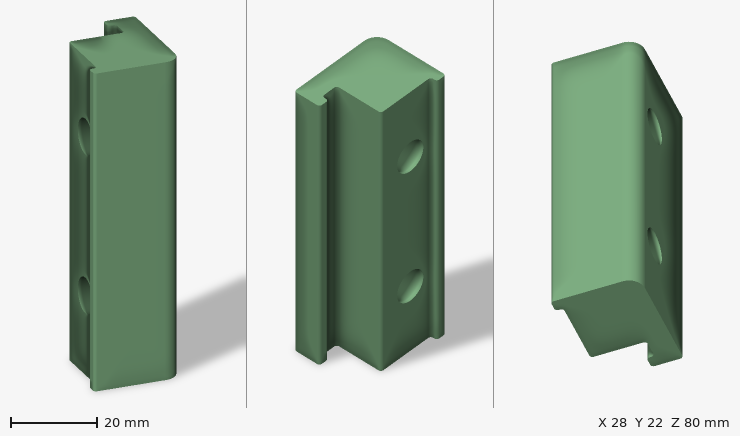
import cadquery as cq

width = 28.0
depth = 22.0
length = 80.0

flange_thickness = 6.0
block_left = 8.0
lip_height = 2.0
lip_width = 3.0
edge_radius = 0.8
corner_radius = 4.0

hole_diameter = 9.0
hole_x = (block_left + width) / 2
hole_heights = (length / 4, 3 * length / 4)

slot_y = depth - flange_thickness
flange_lip_y = slot_y - lip_height
block_lip_left = width - lip_width


def make_body():
    """Extrude the section and round its lengthwise edges."""
    outline = [
        (0, depth),
        (0, flange_lip_y),
        (lip_width, flange_lip_y),
        (lip_width, slot_y),
        (block_left, slot_y),
        (block_left, lip_height),
        (block_lip_left, lip_height),
        (block_lip_left, 0),
        (width, 0),
        (width, depth),
    ]
    body = cq.Workplane("XY").polyline(outline).close().extrude(length)
    large_corner = cq.selectors.NearestToPointSelector((width, depth, length / 2))
    small_edges = body.edges(cq.StringSyntaxSelector("|Z") - large_corner)
    body = small_edges.fillet(edge_radius)
    return body.edges(large_corner).fillet(corner_radius)


def make_holes():
    """Cylinders running right through the block in the Y direction."""
    centers = [(hole_x, height) for height in hole_heights]
    return (
        cq.Workplane("XZ")
        .pushPoints(centers)
        .circle(hole_diameter / 2)
        .extrude(-depth)
    )


result = make_body().cut(make_holes())